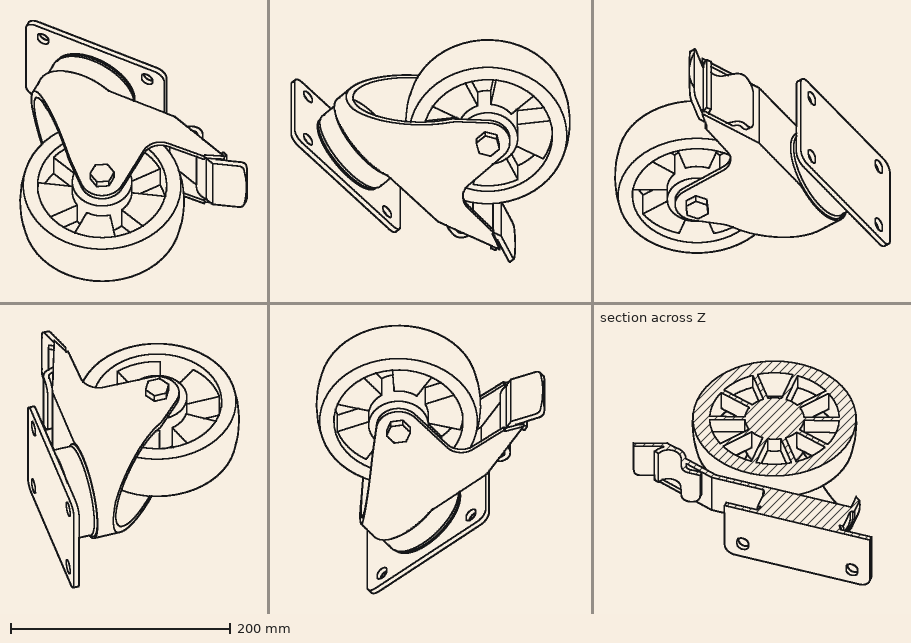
import cadquery as cq
import math


plate_length = 140.1
plate_width = 110.0
plate_thickness = 5.0
plate_corner_radius = 10.0
slot_width = 11.0
slot_length = 14.0
slot_spacing_x = 105.0
slot_spacing_z = 77.2

collar_radius = 41.6
collar_top = -9.3
collar_bottom = -28.5
seal_radius = 40.5
seal_bottom_radius = 38.0
seal_edge = -6.4
flare_radius = 43.4

sheet = 5.0
fork_top = -30.6
cup_radius = 45.0
cup_front_bottom = -45.5
cup_crease_x = -40.7
cup_crease_y = -49.0
fork_half_width = 36.8
fork_bend_radius = 12.2
fork_inner_half = fork_half_width - sheet
lug_radius = 20.0
roof_bend_x = 92.9
roof_end_x = 122.5
roof_underside_bend_x = 90.2
tip_x = 153.1
tip_y = -51.5
jaw_x = 136.5
jaw_y = -57.8
jaw_bottom = -59.5
throat_x = 84.3
throat_y = -61.0
throat_radius = 17.2
roof_slope = (tip_y - fork_top) / (tip_x - roof_bend_x)

wheel_x = 63.0
wheel_y = -121.5
wheel_radius = 75.0
tread_edge_radius = 72.0
wheel_half_width = 25.0
rim_bore_radius = 117.8 / 2
hub_radius = 54.5 / 2
hub_half_width = 30.5
web_half_width = 15.0
web_wall = 5.0
pocket_count = 5
axle_radius = 20.0 / 2
bolt_flats = 19.0
bolt_half_length = 44.0
fork_bottom = wheel_y - lug_radius

pedal_angle = 18.5
heel_x = 145.5
heel_y = -60.3
pedal_end_x = 175.0
pedal_side_x = 172.0
pedal_corner_radius = 5.0
foot_length = 8.3

hook_start_x = 103.5
hook_start_y = -32.0
hook_curl_x = 115.2
hook_curl_radius = 6.9
hook_drop_angle = 70.0
hook_drop = 9.8
hook_bowl_radius = 13.7
hook_tip_angle = 67.0
hook_tip_length = 1.2
hook_corner_radius = 11.8


def along(point, angle, distance):
    """Point reached from a start point by a move at an angle in degrees."""
    turn = math.radians(angle)
    return (point[0] + distance * math.cos(turn), point[1] + distance * math.sin(turn))


def cylinder_y(radius, top, bottom):
    """Cylinder on the swivel axis."""
    return cq.Workplane("XZ", origin=(0, top, 0)).circle(radius).extrude(top - bottom)


def cone_y(top_radius, top, bottom_radius, bottom):
    """Cone frustum on the swivel axis."""
    profile = [(0, top), (top_radius, top), (bottom_radius, bottom), (0, bottom)]
    return cq.Workplane("XY").polyline(profile).close().revolve(360, (0, 0, 0), (0, 1, 0))


def across(outline, half_width):
    """Extrude an XY outline equally to both sides of Z = 0."""
    return outline.extrude(half_width, both=True)


def make_plate():
    plate = cq.Workplane("XZ").rect(plate_length, plate_width).extrude(plate_thickness)
    plate = plate.edges("|Y").fillet(plate_corner_radius)
    slots = (
        cq.Workplane("XZ")
        .rect(slot_spacing_x, slot_spacing_z, forConstruction=True)
        .vertices()
        .slot2D(slot_length, slot_width, 90)
        .extrude(plate_thickness)
    )
    return plate.cut(slots)


def make_swivel_head():
    seal = cylinder_y(seal_radius, -plate_thickness, seal_edge)
    taper = cone_y(seal_radius, seal_edge, seal_bottom_radius, collar_top)
    collar = cylinder_y(collar_radius, collar_top, collar_bottom)
    flare = cone_y(collar_radius, collar_bottom, flare_radius, fork_top)
    return seal.union(taper).union(collar).union(flare)


def cup_and_cheeks():
    """Solid round cup that runs through two bends into straight cheeks."""
    bend_z = fork_half_width + fork_bend_radius
    centre_distance = cup_radius + fork_bend_radius
    bend_x = math.sqrt(centre_distance**2 - bend_z**2)
    joint_x = bend_x * cup_radius / centre_distance
    joint_z = bend_z * cup_radius / centre_distance
    toward_cup = math.degrees(math.atan2(-bend_z, -bend_x))
    middle_x, middle_z = along((bend_x, bend_z), (toward_cup - 90) / 2, fork_bend_radius)
    outline = (
        cq.Workplane("XZ", origin=(0, fork_top, 0))
        .moveTo(tip_x, fork_half_width)
        .lineTo(bend_x, fork_half_width)
        .threePointArc((middle_x, middle_z), (joint_x, joint_z))
        .threePointArc((-cup_radius, 0), (joint_x, -joint_z))
        .threePointArc((middle_x, -middle_z), (bend_x, -fork_half_width))
        .lineTo(tip_x, -fork_half_width)
        .close()
    )
    return outline.extrude(fork_top - fork_bottom)


def fork_room():
    """Space inside the fork: a round bore and the gap between the cheeks, both below the roof."""
    roof_end_y = fork_top - sheet + roof_slope * (roof_end_x - roof_underside_bend_x)
    below_roof = [
        (-cup_radius, fork_top - sheet),
        (roof_underside_bend_x, fork_top - sheet),
        (roof_end_x, roof_end_y),
        (roof_end_x, fork_top),
        (tip_x, fork_top),
        (tip_x, fork_bottom),
        (-cup_radius, fork_bottom),
    ]
    side_outline = cq.Workplane("XY").polyline(below_roof).close()
    gap_outline = cq.Workplane("XY").moveTo(0, fork_bottom).lineTo(tip_x, fork_bottom)
    gap_outline = gap_outline.lineTo(tip_x, fork_top).lineTo(0, fork_top).close()
    bore = cylinder_y(cup_radius - sheet, fork_top, fork_bottom)
    plan = bore.union(across(gap_outline, fork_inner_half))
    return plan.intersect(across(side_outline, cup_radius))


def fork_side_prism():
    """Side outline of the fork, with the lug round the axle and the throat behind the wheel."""
    run = wheel_x - cup_crease_x
    drop = wheel_y - cup_crease_y
    lug_angle = math.degrees(math.atan2(drop, run) - math.asin(lug_radius / math.hypot(run, drop))) - 90
    axle = (wheel_x, wheel_y)
    outline = (
        cq.Workplane("XY")
        .moveTo(-cup_radius, fork_top)
        .lineTo(-cup_radius, cup_front_bottom)
        .lineTo(cup_crease_x, cup_crease_y)
        .lineTo(*along(axle, lug_angle, lug_radius))
        .threePointArc(along(axle, lug_angle / 2, lug_radius), (wheel_x + lug_radius, wheel_y))
        .lineTo(throat_x, throat_y)
        .lineTo(jaw_x, jaw_bottom)
        .lineTo(jaw_x, jaw_y)
        .lineTo(tip_x, tip_y)
        .lineTo(roof_bend_x, fork_top)
        .close()
    )
    side = across(outline, cup_radius)
    throat = cq.selectors.NearestToPointSelector((throat_x, throat_y, 0))
    return side.edges("|Z").edges(throat).fillet(throat_radius)


def make_fork():
    return cup_and_cheeks().intersect(fork_side_prism()).cut(fork_room())


def wheel_cylinder(radius, half_width):
    return across(cq.Workplane("XY").center(wheel_x, wheel_y).circle(radius), half_width)


def make_tyre():
    profile = (
        cq.Workplane("XZ", origin=(wheel_x, wheel_y, 0))
        .moveTo(rim_bore_radius, -wheel_half_width)
        .lineTo(tread_edge_radius, -wheel_half_width)
        .threePointArc((wheel_radius, 0), (tread_edge_radius, wheel_half_width))
        .lineTo(rim_bore_radius, wheel_half_width)
        .close()
    )
    return profile.revolve(360, (0, 0, 0), (0, 1, 0))


def make_web():
    """Disc folded into alternate sectors, with radial walls between pockets open to +Z and to -Z."""
    web = wheel_cylinder(rim_bore_radius, web_half_width)
    ring = web.cut(wheel_cylinder(hub_radius, web_half_width))
    pocket_depth = 2 * web_half_width - web_wall
    half_angle = 180 / (2 * pocket_count)
    apex_x = web_wall / 2 / math.sin(math.radians(half_angle))
    reach = 2 * rim_bore_radius
    corner = along((apex_x, 0), half_angle, reach)
    wedge_outline = [(apex_x, 0), corner, (corner[0], -corner[1])]
    for index in range(2 * pocket_count):
        floor = web_wall - web_half_width if index % 2 else -web_half_width
        wedge = (
            cq.Workplane("XY", origin=(0, 0, floor))
            .polyline(wedge_outline)
            .close()
            .extrude(pocket_depth)
            .rotate((0, 0, 0), (0, 0, 1), 2 * half_angle * index)
            .translate((wheel_x, wheel_y, 0))
        )
        web = web.cut(wedge.intersect(ring))
    return web


def make_axle():
    spacer = wheel_cylinder(axle_radius, fork_half_width)
    hexagon = cq.Workplane("XY").polygon(6, bolt_flats / math.cos(math.radians(30)))
    bolt = across(hexagon, bolt_half_length).rotate((0, 0, 0), (0, 0, 1), 90)
    return spacer.union(bolt.translate((wheel_x, wheel_y, 0)))


def make_pedal():
    """Sheet bent at the heel: a short foot inside the fork and a treadle with a bowed end."""
    heel = (heel_x, heel_y)
    length = (pedal_end_x - heel_x) / math.cos(math.radians(pedal_angle))
    treadle = cq.Workplane("XY").rect(length, sheet, centered=False)
    treadle = across(treadle, fork_inner_half).rotate((0, 0, 0), (0, 0, 1), pedal_angle)
    foot = cq.Workplane("XY").center(-foot_length, 0).rect(foot_length, sheet, centered=False)
    foot = across(foot, fork_inner_half).rotate((0, 0, 0), (0, 0, 1), -pedal_angle)
    plan = (
        cq.Workplane("XZ")
        .moveTo(jaw_x, -fork_inner_half)
        .lineTo(pedal_side_x, -fork_inner_half)
        .threePointArc((pedal_end_x, 0), (pedal_side_x, fork_inner_half))
        .lineTo(jaw_x, fork_inner_half)
        .close()
        .extrude(-2 * heel_y)
        .edges("|Y")
        .edges(">X")
        .fillet(pedal_corner_radius)
    )
    return treadle.union(foot).translate((*heel, 0)).intersect(plan)


def make_hook():
    """Strip that curls down off the roof, sweeps round a bowl and rises to its tip."""
    curl_centre = (hook_curl_x, hook_start_y - hook_curl_radius)
    curl_end_angle = 90 - hook_drop_angle
    curl_end = along(curl_centre, curl_end_angle, hook_curl_radius)
    bowl_start = along(curl_end, -hook_drop_angle, hook_drop)
    bowl_centre = along(bowl_start, curl_end_angle, hook_bowl_radius)
    bowl_end = along(bowl_centre, hook_tip_angle - 90, hook_bowl_radius)
    path = (
        cq.Workplane("XY")
        .moveTo(hook_start_x, hook_start_y)
        .lineTo(hook_curl_x, hook_start_y)
        .tangentArcPoint(curl_end, relative=False)
        .lineTo(*bowl_start)
        .threePointArc(along(bowl_centre, -90, hook_bowl_radius), bowl_end)
        .lineTo(*along(bowl_end, hook_tip_angle, hook_tip_length))
    )
    section = cq.Workplane("YZ", origin=(hook_start_x, hook_start_y, 0)).rect(sheet, 2 * fork_inner_half)
    return section.sweep(path).edges("|Y").edges("<X").fillet(hook_corner_radius)


result = (
    make_plate()
    .union(make_swivel_head())
    .union(make_fork())
    .union(make_tyre())
    .union(make_web())
    .union(wheel_cylinder(hub_radius, hub_half_width))
    .union(make_axle())
    .union(make_hook())
    .union(make_pedal())
)